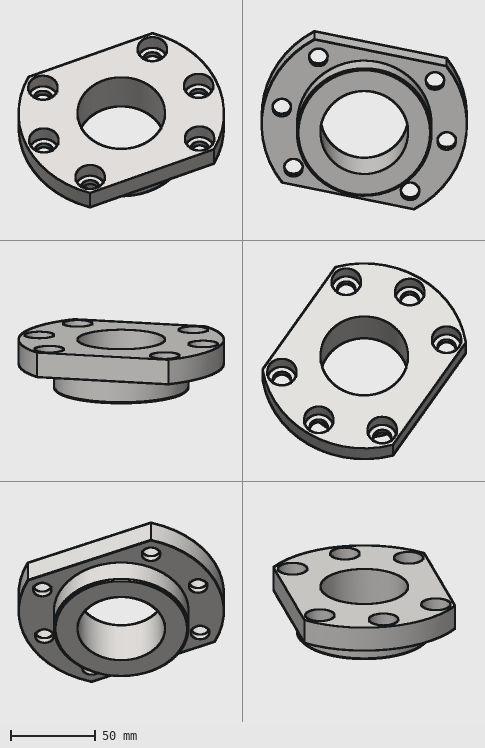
import cadquery as cq

flange_diameter = 122.0
flange_width = 92.0
flange_thickness = 15.0
flange_edge_chamfer = 0.2

spigot_diameter = 80.0
total_height = 30.0
spigot_chamfer = 1.0

bore_diameter = 52.0

bolt_circle_radius = 50.0
hole_diameter = 11.0
counterbore_diameter = 17.5
counterbore_depth = 11.0
hole_angles = (45, 90, 135, 225, 270, 315)

flange_bottom = total_height - flange_thickness


def make_flange():
    """Disc trimmed by the two flats, with a chamfered lower rim."""
    disc = (
        cq.Workplane("XY", origin=(0, 0, flange_bottom))
        .circle(flange_diameter / 2)
        .extrude(flange_thickness)
    )
    trim = (
        cq.Workplane("XY", origin=(0, 0, flange_bottom))
        .rect(flange_width, flange_diameter)
        .extrude(flange_thickness)
    )
    return disc.intersect(trim).faces("<Z").chamfer(flange_edge_chamfer)


def make_spigot():
    """Round spigot with a chamfered lower edge."""
    return (
        cq.Workplane("XY")
        .circle(spigot_diameter / 2)
        .extrude(flange_bottom)
        .faces("<Z")
        .chamfer(spigot_chamfer)
    )


def cut_screw_holes(body):
    """Through holes counterbored from the top face."""
    hole = cq.Workplane("XY").circle(hole_diameter / 2).extrude(total_height)
    counterbore = (
        cq.Workplane("XY", origin=(0, 0, total_height - counterbore_depth))
        .circle(counterbore_diameter / 2)
        .extrude(counterbore_depth)
    )
    cutter = hole.union(counterbore).translate((bolt_circle_radius, 0, 0))
    for angle in hole_angles:
        body = body.cut(cutter.rotate((0, 0, 0), (0, 0, 1), angle))
    return body


bore = cq.Workplane("XY").circle(bore_diameter / 2).extrude(total_height)

result = cut_screw_holes(make_flange().union(make_spigot())).cut(bore)